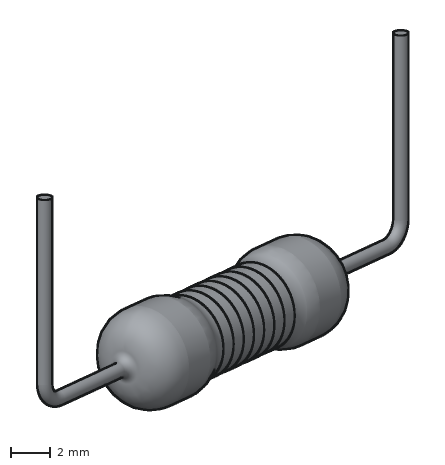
import cadquery as cq
import math


lead_diameter = 0.8
lead_spacing = 30.0
lead_top = 11.35
bend_radius = 1.2

cap_diameter = 5.5
core_diameter = 4.67
body_length = 16.5
meniscus_radius = 0.5
core_length = 6.0
cap_inner_edge = 4.62

band_diameter = 4.7
band_count = 4
band_width = core_length / (2 * band_count - 1)

lead_radius = lead_diameter / 2
cap_radius = cap_diameter / 2
core_radius = core_diameter / 2
dome_radius = cap_radius - lead_radius - meniscus_radius
body_end = body_length / 2
core_end = core_length / 2
diagonal = math.sqrt(0.5)


def make_cap():
    """Revolve the domed cap at the +Y end, from its shoulder to the flare around the lead."""
    dome_start = body_end - dome_radius
    dome_foot = lead_radius + meniscus_radius
    lead_exit = body_end + meniscus_radius

    shoulder_length = cap_inner_edge - core_end
    shoulder_height = cap_radius - core_radius
    shoulder_middle = (core_radius + shoulder_height / 2, core_end + shoulder_length / 2)
    shoulder_radius = (shoulder_length**2 + shoulder_height**2) / (4 * shoulder_height)
    half_angle = math.atan2(shoulder_height, shoulder_length)
    arc_rise = shoulder_radius * (1 - math.cos(half_angle))
    arc_run = shoulder_radius * math.sin(half_angle)

    meniscus_middle = (
        dome_foot - meniscus_radius * diagonal,
        lead_exit - meniscus_radius * diagonal,
    )
    dome_middle = (dome_foot + dome_radius * diagonal, dome_start + dome_radius * diagonal)

    profile = (
        cq.Workplane("ZY")
        .moveTo(0, core_end)
        .lineTo(core_radius, core_end)
        .threePointArc((core_radius + arc_rise, core_end + arc_run), shoulder_middle)
        .threePointArc((cap_radius - arc_rise, cap_inner_edge - arc_run), (cap_radius, cap_inner_edge))
        .lineTo(cap_radius, dome_start)
        .threePointArc(dome_middle, (dome_foot, body_end))
        .threePointArc(meniscus_middle, (lead_radius, lead_exit))
        .lineTo(0, lead_exit)
        .close()
    )
    return profile.revolve(360, (0, 0), (0, 1))


def make_disc(center, diameter, width):
    """Cylinder on the body axis, centered at the given Y."""
    start = center - width / 2
    return cq.Workplane("XZ", origin=(0, start, 0)).circle(diameter / 2).extrude(-width)


def make_leads():
    """One wire swept through the body and up at both ends."""
    lead_y = lead_spacing / 2
    bend_y = lead_y - bend_radius
    bend_sag = bend_radius * (1 - diagonal)
    path = (
        cq.Workplane("YZ")
        .moveTo(-lead_y, lead_top)
        .lineTo(-lead_y, bend_radius)
        .threePointArc((-lead_y + bend_sag, bend_sag), (-bend_y, 0))
        .lineTo(bend_y, 0)
        .threePointArc((lead_y - bend_sag, bend_sag), (lead_y, bend_radius))
        .lineTo(lead_y, lead_top)
    )
    return cq.Workplane("XY", origin=(0, -lead_y, lead_top)).circle(lead_radius).sweep(path)


cap = make_cap()
result = make_disc(0, core_diameter, core_length).union(cap).union(cap.mirror("XZ")).union(make_leads())
for index in range(band_count):
    band_center = (2 * index - (band_count - 1)) * band_width
    result = result.union(make_disc(band_center, band_diameter, band_width))